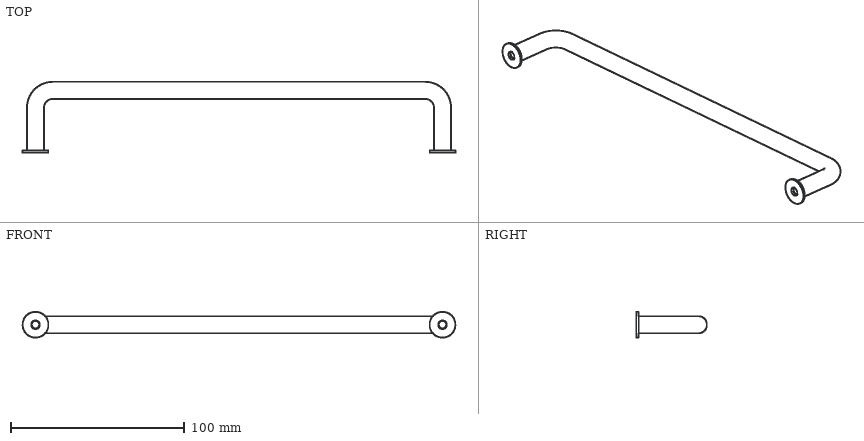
import cadquery as cq
import math

overall_length = 250.0
overall_depth = 41.0
flange_diameter = 15.0
flange_thickness = 1.5
rim_radius = 0.5
bar_diameter = 10.0
bend_radius = 10.0
hole_diameter = 4.2
hole_depth = 20.0
hole_tip_angle = 118.0
counterbore_diameter = 5.0

leg_x = (overall_length - flange_diameter) / 2
grip_y = overall_depth - bar_diameter / 2
bend_start_y = grip_y - bend_radius
bend_end_x = leg_x - bend_radius
counterbore_depth = flange_thickness
hole_tip_length = hole_diameter / 2 / math.tan(math.radians(hole_tip_angle / 2))
along_y = cq.Vector(0, 1, 0)


def bent_bar():
    """Round bar swept along two legs, two quarter bends and the grip."""
    path = (
        cq.Workplane("XY")
        .moveTo(-leg_x, 0)
        .lineTo(-leg_x, bend_start_y)
        .tangentArcPoint((-bend_end_x, grip_y), relative=False)
        .lineTo(bend_end_x, grip_y)
        .tangentArcPoint((leg_x, bend_start_y), relative=False)
        .lineTo(leg_x, 0)
    )
    section = cq.Workplane("XZ", origin=(-leg_x, 0, 0)).circle(bar_diameter / 2)
    return section.sweep(path)


def flange(x):
    """Thin disc at the foot of a leg, its rim rounded on the side facing the grip."""
    disc = cq.Solid.makeCylinder(
        flange_diameter / 2, flange_thickness, cq.Vector(x, 0, 0), along_y
    )
    return cq.Workplane(disc).faces(">Y").edges().fillet(rim_radius)


def screw_hole(x):
    """Blind drilled hole with a conical end, widened where it passes the flange."""
    foot = cq.Vector(x, 0, 0)
    bore = cq.Solid.makeCylinder(hole_diameter / 2, hole_depth, foot, along_y)
    counterbore = cq.Solid.makeCylinder(
        counterbore_diameter / 2, counterbore_depth, foot, along_y
    )
    tip = cq.Solid.makeCone(
        hole_diameter / 2, 0, hole_tip_length, cq.Vector(x, hole_depth, 0), along_y
    )
    return bore.fuse(counterbore, tip)


result = bent_bar()
for foot_x in (-leg_x, leg_x):
    result = result.union(flange(foot_x))
for foot_x in (-leg_x, leg_x):
    result = result.cut(screw_hole(foot_x))